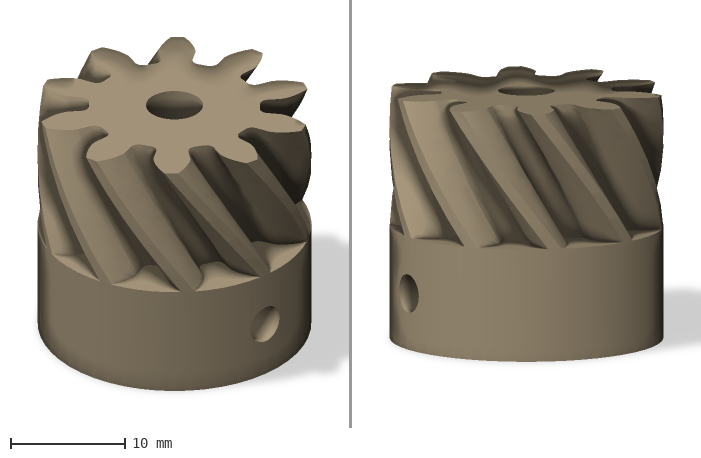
import cadquery as cq
import math

outer_diameter = 24.0
overall_height = 22.0
gear_height = 12.0
bore_diameter = 5.0
set_screw_diameter = 3.4

tooth_count = 10
pressure_angle = math.radians(20)
twist_angle = -43.2
dedendum_factor = 1.25
fillet_factor = 0.38
flank_points = 9

hub_height = overall_height - gear_height
module = outer_diameter / (tooth_count + 2)
tip_radius = outer_diameter / 2
pitch_radius = module * tooth_count / 2
base_radius = pitch_radius * math.cos(pressure_angle)
root_radius = pitch_radius - dedendum_factor * module
fillet_radius = fillet_factor * module
tooth_pitch = 2 * math.pi / tooth_count


def involute(angle):
    return math.tan(angle) - angle


def half_tooth_angle(radius):
    """Angle from the tooth centreline to the involute flank at a radius."""
    local_pressure_angle = math.acos(min(1.0, base_radius / radius))
    return tooth_pitch / 4 + involute(pressure_angle) - involute(local_pressure_angle)


def polar(radius, angle):
    return (radius * math.cos(angle), radius * math.sin(angle))


def gear_outline():
    """Closed outline of all teeth, drawn counter-clockwise from the root of the first tooth."""
    half_root_width = half_tooth_angle(base_radius)
    fillet_centre_radius = root_radius + fillet_radius
    fillet_angle = math.asin(fillet_radius / fillet_centre_radius)
    fillet_top_radius = fillet_centre_radius * math.cos(fillet_angle)
    fillet_end = half_root_width + fillet_angle

    half_sweep = math.pi / 4 - fillet_angle / 2
    middle_outward = fillet_centre_radius - fillet_radius * math.cos(half_sweep)
    middle_sideways = fillet_radius * math.sin(half_sweep)
    fillet_middle_radius = math.hypot(middle_outward, middle_sideways)
    fillet_middle = fillet_end - math.atan2(middle_sideways, middle_outward)

    flank_step = (tip_radius - base_radius) / (flank_points - 1)
    flank_radii = [base_radius + i * flank_step for i in range(flank_points)]

    outline = cq.Workplane("XY").workplane(offset=hub_height)
    outline = outline.moveTo(*polar(root_radius, -fillet_end))
    for tooth in range(tooth_count):
        centre = tooth * tooth_pitch
        rising = [polar(r, centre - half_tooth_angle(r)) for r in flank_radii]
        falling = [polar(r, centre + half_tooth_angle(r)) for r in reversed(flank_radii)]
        next_centre = centre + tooth_pitch
        outline = (
            outline
            .threePointArc(
                polar(fillet_middle_radius, centre - fillet_middle),
                polar(fillet_top_radius, centre - half_root_width),
            )
            .lineTo(*rising[0])
            .spline(rising[1:], includeCurrent=True)
            .threePointArc(polar(tip_radius, centre), falling[0])
            .spline(falling[1:], includeCurrent=True)
            .lineTo(*polar(fillet_top_radius, centre + half_root_width))
            .threePointArc(
                polar(fillet_middle_radius, centre + fillet_middle),
                polar(root_radius, centre + fillet_end),
            )
            .threePointArc(
                polar(root_radius, centre + tooth_pitch / 2),
                polar(root_radius, next_centre - fillet_end),
            )
        )
    return outline.close()


def set_screw_hole():
    """Radial hole from the +X side of the hub into the bore."""
    return (
        cq.Workplane("YZ")
        .center(0, hub_height / 2)
        .circle(set_screw_diameter / 2)
        .extrude(outer_diameter)
    )


hub = cq.Workplane("XY").circle(outer_diameter / 2).extrude(hub_height)
gear = gear_outline().twistExtrude(gear_height, twist_angle)
bore = cq.Workplane("XY").circle(bore_diameter / 2).extrude(overall_height)

result = hub.union(gear).cut(bore).cut(set_screw_hole())